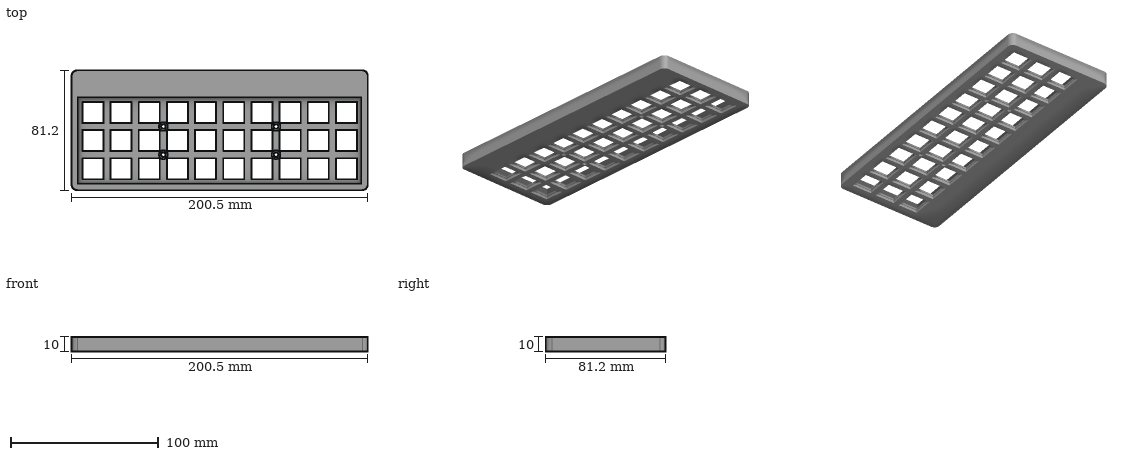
import cadquery as cq

length = 200.5
width = 81.2
height = 10.0
corner_radius = 4.0

wall = 4.5
rear_deck = 18.5
plate_top = 3.5
well_length = length - 2 * wall
well_width = width - wall - rear_deck
well_y = (wall - rear_deck) / 2

columns = 10
rows = 3
key_pitch = 19.0
cutout = 14.0
lip_thickness = 1.5
relief_step = 0.5
relief = cutout + 2 * relief_step

screw_diameter = 3.0
head_diameter = 6.0
head_angle = 90
screw_spacing_x = 4 * key_pitch
screw_spacing_y = key_pitch


def switch_grid(size, bottom, top):
    """Square prisms at every switch position, between two heights."""
    return (
        cq.Workplane("XY", origin=(0, well_y, bottom))
        .rarray(key_pitch, key_pitch, columns, rows)
        .rect(size, size)
        .extrude(top - bottom)
    )


case = (
    cq.Workplane("XY")
    .box(length, width, height, centered=(True, True, False))
    .edges("|Z")
    .fillet(corner_radius)
)

well = (
    cq.Workplane("XY", origin=(0, well_y, plate_top))
    .rect(well_length, well_width)
    .extrude(height - plate_top)
)
case = case.cut(well)

case = case.cut(switch_grid(cutout, 0, plate_top))
case = case.cut(switch_grid(relief, 0, plate_top - lip_thickness))

result = (
    case.copyWorkplane(cq.Workplane("XY", origin=(0, well_y, plate_top)))
    .rarray(screw_spacing_x, screw_spacing_y, 2, 2)
    .cskHole(screw_diameter, head_diameter, head_angle)
)